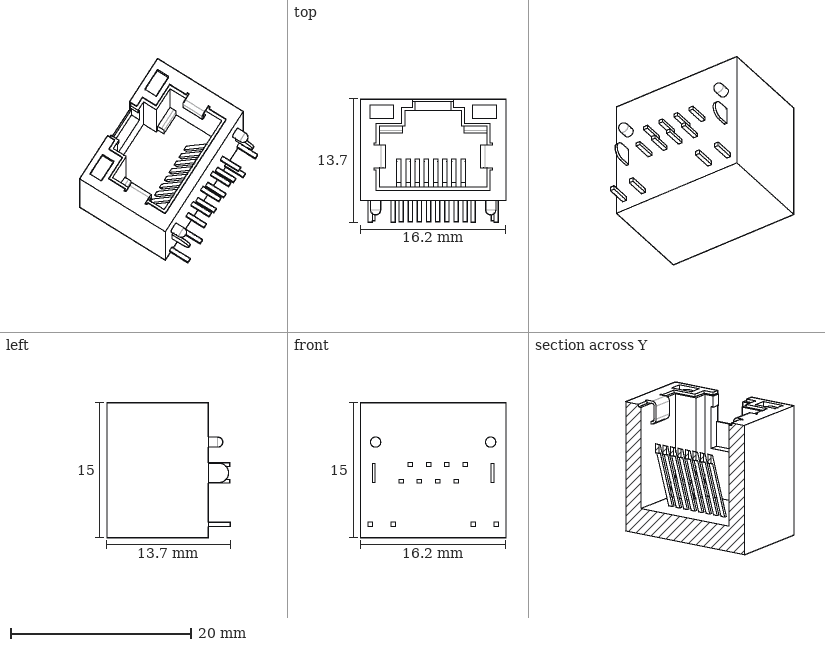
import cadquery as cq
import math

body_width = 16.18
body_depth = 11.27
body_height = 15.0
total_depth = 13.7

cavity_width = 11.94
cavity_front = 1.5
shoulder_y = 8.28
throat_width = 6.26
throat_back = 9.97
cavity_floor = 3.0

latch_width = 4.56
latch_back = 11.02
latch_floor = 8.6
latch_wall_top = 11.45
latch_wall_setback = 0.07
lip_width = 0.28
lip_bottom = 13.4

led_x = 5.7
led_y = 9.86
led_width = 2.64
led_length = 1.48
lens_depth = 0.33
lens_radius = 2.3

spring_width = 2.55
spring_y = 4.895
spring_sheet = 0.3
spring_bend = 0.5
spring_face_x = 5.27
spring_straight_bottom = 13.0

recess_depth = spring_sheet
recess_margin = 0.36
shoulder_margin = 0.28
slit_width = 0.21
slit_reach = 0.24

stop_inner_x = 3.41
stop_drop = 0.81
stop_radius = 0.32
stop_top = 5.0

contact_count = 8
contact_pitch = 1.016
contact_width = 0.5
contact_offset_x = -0.24
contact_sheet = 0.3
contact_bend_y = 1.99
contact_end_y = 4.63
contact_slope = math.radians(71)
contact_bend_drop = 0.22
pin_height = 0.42
pin_length = 2.38
pin_row_z = 7.2
pin_row_spacing = 1.84

led_pin_size = 0.5
led_pin_xs = (4.45, 6.99)
led_pin_z = 1.5

peg_x = 6.385
peg_z = 10.62
peg_radius = 0.57
peg_length = 1.6

lug_x = 6.59
lug_thickness = 0.3
lug_height = 2.1
lug_length = 2.25

embed = 0.5


def block(x0, x1, y0, y1, z0, z1):
    """Box between the given limits."""
    return cq.Workplane("XY").box(x1 - x0, y1 - y0, z1 - z0, centered=False).translate((x0, y0, z0))


def centred_block(width, y0, y1, z0, z1):
    """Box centred on X = 0."""
    return block(-width / 2, width / 2, y0, y1, z0, z1)


def mirrored(shape):
    """The shape together with its mirror image across X = 0."""
    return shape.union(shape.mirror("YZ"))


def cavity():
    wide = centred_block(cavity_width, cavity_front, shoulder_y, cavity_floor, body_height)
    throat = centred_block(throat_width, cavity_front, throat_back, cavity_floor, body_height)
    return wide.union(throat)


def mouth_recess():
    bottom = body_height - recess_depth
    front = cavity_front - recess_margin
    wide_width = cavity_width + 2 * recess_margin
    throat_recess_width = throat_width + 2 * recess_margin
    slit_span = spring_width + 2 * slit_width
    slit_front = spring_y - slit_span / 2
    wide = centred_block(wide_width, front, shoulder_y + shoulder_margin, bottom, body_height)
    throat = centred_block(throat_recess_width, front, throat_back + recess_margin, bottom, body_height)
    latch = centred_block(latch_width, throat_back, body_depth, bottom, body_height)
    slits = centred_block(wide_width + 2 * slit_reach, slit_front, slit_front + slit_span, bottom, body_height)
    return wide.union(throat).union(latch).union(slits)


def latch_window():
    slot = centred_block(latch_width, shoulder_y, latch_back, latch_floor, body_height)
    opening = centred_block(latch_width, latch_back, body_depth, latch_wall_top, body_height)
    setback = centred_block(
        latch_width, body_depth - latch_wall_setback, body_depth, latch_floor, body_height
    )
    lip_top = body_height - recess_depth
    lip = block(latch_width / 2 - lip_width, latch_width / 2, throat_back, latch_back, lip_bottom, lip_top)
    return slot.union(opening).union(setback).cut(mirrored(lip))


def led_window():
    sag = lens_radius - math.sqrt(lens_radius**2 - (led_width / 2) ** 2)
    lens_top = body_height - lens_depth
    profile = (
        cq.Workplane("XZ", origin=(led_x, led_y + led_length / 2, 0))
        .moveTo(-led_width / 2, body_height)
        .lineTo(-led_width / 2, lens_top - sag)
        .threePointArc((0, lens_top), (led_width / 2, lens_top - sag))
        .lineTo(led_width / 2, body_height)
        .close()
    )
    return profile.extrude(led_length)


def shield_spring():
    """Bent sheet: flat at the mouth, turned down into the cavity, returned to the side wall."""
    anchor_x = cavity_width / 2 + recess_margin + slit_reach
    wall_x = cavity_width / 2
    inner_bend = spring_bend - spring_sheet
    bend_x = spring_face_x + spring_bend
    bend_z = body_height - spring_bend
    diagonal = math.sqrt(0.5)
    inner_x = spring_face_x + spring_sheet
    return_outer = wall_x - spring_face_x
    return_inner = return_outer - spring_sheet
    profile = (
        cq.Workplane("XZ", origin=(0, spring_y + spring_width / 2, 0))
        .moveTo(anchor_x, body_height)
        .lineTo(bend_x, body_height)
        .threePointArc(
            (bend_x - spring_bend * diagonal, bend_z + spring_bend * diagonal), (spring_face_x, bend_z)
        )
        .lineTo(spring_face_x, spring_straight_bottom)
        .threePointArc(
            (wall_x - return_outer * diagonal, spring_straight_bottom - return_outer * diagonal),
            (wall_x, spring_straight_bottom - return_outer),
        )
        .lineTo(wall_x, spring_straight_bottom - return_inner)
        .threePointArc(
            (wall_x - return_inner * diagonal, spring_straight_bottom - return_inner * diagonal),
            (inner_x, spring_straight_bottom),
        )
        .lineTo(inner_x, bend_z)
        .threePointArc(
            (bend_x - inner_bend * diagonal, bend_z + inner_bend * diagonal),
            (bend_x, body_height - spring_sheet),
        )
        .lineTo(anchor_x, body_height - spring_sheet)
        .close()
    )
    return profile.extrude(spring_width)


def shoulder_stop():
    stop = block(stop_inner_x, cavity_width / 2, shoulder_y - stop_drop, shoulder_y, cavity_floor, stop_top)
    return stop.edges("|X and >Z and <Y").fillet(stop_radius)


def contact(x):
    """Spring contact that leaves the front wall, bends over and slopes down to the cavity floor."""
    bend_z = cavity_floor + (contact_end_y - contact_bend_y) * math.tan(contact_slope)
    wall_z = bend_z + contact_bend_drop
    buried_y = contact_end_y + embed / math.tan(contact_slope)
    buried_z = cavity_floor - embed
    thickness_z = contact_sheet / math.cos(contact_slope)
    middle_y = (cavity_front + contact_bend_y) / 2
    middle_z = wall_z - contact_bend_drop / 4
    profile = (
        cq.Workplane("YZ", origin=(x - contact_width / 2, 0, 0))
        .moveTo(cavity_front, wall_z)
        .threePointArc((middle_y, middle_z), (contact_bend_y, bend_z))
        .lineTo(buried_y, buried_z)
        .lineTo(buried_y - thickness_z / math.tan(contact_slope), buried_z)
        .lineTo(contact_bend_y, bend_z - thickness_z)
        .lineTo(cavity_front, bend_z - thickness_z)
        .close()
    )
    return profile.extrude(contact_width)


def pin(x, z, width, height, length):
    return block(x - width / 2, x + width / 2, -length, embed, z - height / 2, z + height / 2)


def locating_peg():
    straight = peg_length - peg_radius
    shank = cq.Workplane("XZ", origin=(peg_x, embed, peg_z)).circle(peg_radius).extrude(straight + embed)
    tip = cq.Workplane("XY").sphere(peg_radius).translate((peg_x, -straight, peg_z))
    return shank.union(tip)


def shield_lug():
    half_height = lug_height / 2
    straight = lug_length - half_height
    profile = (
        cq.Workplane("YZ", origin=(lug_x - lug_thickness / 2, 0, pin_row_z))
        .moveTo(embed, half_height)
        .lineTo(-straight, half_height)
        .threePointArc((-lug_length, 0), (-straight, -half_height))
        .lineTo(embed, -half_height)
        .close()
    )
    return profile.extrude(lug_thickness)


housing = centred_block(body_width, 0, body_depth, 0, body_height)
housing = housing.cut(cavity()).cut(latch_window()).cut(mouth_recess()).cut(mirrored(led_window()))

result = housing.union(mirrored(shield_spring())).union(mirrored(shoulder_stop()))

for index in range(contact_count):
    pin_x = (index - (contact_count - 1) / 2) * contact_pitch
    row_side = 1 if index % 2 else -1
    pin_z = pin_row_z + row_side * pin_row_spacing / 2
    result = result.union(contact(pin_x + contact_offset_x))
    result = result.union(pin(pin_x, pin_z, contact_width, pin_height, pin_length))

for led_pin_x in led_pin_xs:
    led_pin = pin(led_pin_x, led_pin_z, led_pin_size, led_pin_size, total_depth - body_depth)
    result = result.union(mirrored(led_pin))

result = result.union(mirrored(locating_peg())).union(mirrored(shield_lug()))